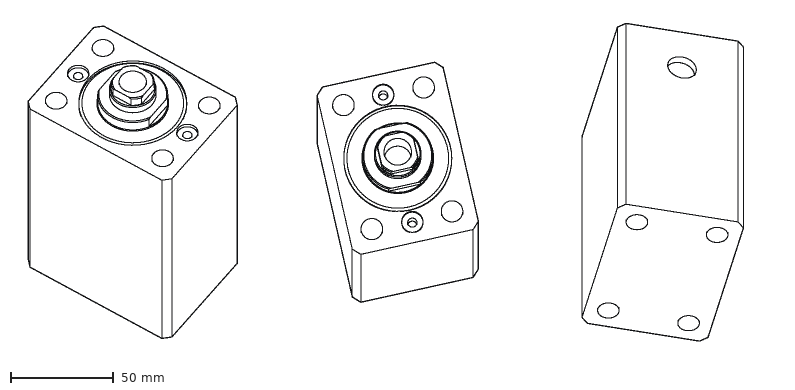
import cadquery as cq
import math

block_length = 85.0
block_width = 63.0
block_height = 123.3
corner_chamfer = 3.5

bolt_hole_diameter = 10.5
bolt_spacing_x = 63.0
bolt_spacing_y = 40.0

top_port_spacing = 64.6
top_port_recess_diameter = 10.4
top_port_recess_depth = 2.0
top_port_bore_diameter = 4.5
top_port_bore_depth = 9.8

side_port_diameter = 14.3
side_port_drop = 24.0
side_port_depth = 4.0

gland_diameter = 52.6
gland_thickness = 20.0
gland_chamfer = 1.5

collar_diameter = 34.1
collar_flat_width = 30.2
collar_top = 130.0
collar_base_height = 0.8
neck_diameter = 22.8
neck_top = 134.6
head_top = 139.9
head_diameter = 21.0
head_flat_width = 18.0
edge_chamfer = 0.5
collar_flare = 0.4

rod_hole_diameter = 13.3
rod_hole_depth = 20.0
drill_point_angle = 118.0

rod_diameter = collar_diameter + 2 * collar_flare
gland_bottom = block_height - gland_thickness
flats_bottom = block_height + collar_base_height


def cylinder(diameter, bottom, top):
    return cq.Workplane("XY").workplane(offset=bottom).circle(diameter / 2).extrude(top - bottom)


def chamfered_cylinder(diameter, bottom, top, chamfer):
    return cylinder(diameter, bottom, top).faces(">Z").edges().chamfer(chamfer)


def box(width_x, width_y, bottom, top):
    return cq.Workplane("XY").workplane(offset=bottom).rect(width_x, width_y).extrude(top - bottom)


def make_housing():
    housing = box(block_length, block_width, 0, block_height)
    housing = housing.edges("|Z").chamfer(corner_chamfer)

    bolt_holes = (
        cq.Workplane("XY")
        .rarray(bolt_spacing_x, bolt_spacing_y, 2, 2)
        .circle(bolt_hole_diameter / 2)
        .extrude(block_height)
    )
    housing = housing.cut(bolt_holes)

    housing = (
        housing.faces(">Z")
        .workplane(origin=(0, 0, block_height))
        .rarray(top_port_spacing, 1.4, 2, 1)
        .cboreHole(
            top_port_bore_diameter, top_port_recess_diameter, top_port_recess_depth, top_port_bore_depth
        )
    )

    side_port = (
        cq.Workplane("YZ", origin=(-block_length / 2, 0, block_height - side_port_drop))
        .circle(side_port_diameter / 2)
        .extrude(side_port_depth)
    )
    gland_seat = cylinder(gland_diameter, gland_bottom, block_height)
    return housing.cut(side_port).cut(gland_seat)


def make_gland():
    gland = chamfered_cylinder(gland_diameter, gland_bottom, block_height, gland_chamfer)
    return gland.cut(cylinder(rod_diameter, gland_bottom, block_height))


def make_collar_foot():
    return (
        cq.Workplane("XY")
        .workplane(offset=block_height)
        .circle(rod_diameter / 2)
        .workplane(offset=collar_flare)
        .circle(collar_diameter / 2)
        .loft(combine=True)
    )


def make_collar():
    collar_base = cylinder(collar_diameter, block_height, flats_bottom).union(make_collar_foot())
    collar = chamfered_cylinder(collar_diameter, flats_bottom, collar_top, edge_chamfer)
    flats = box(collar_flat_width, collar_diameter, flats_bottom, collar_top)
    return collar_base.union(collar.intersect(flats))


def make_head():
    head = chamfered_cylinder(head_diameter, neck_top, head_top, edge_chamfer)
    return head.intersect(box(head_flat_width, head_flat_width, neck_top, head_top))


def make_rod():
    shaft = cylinder(rod_diameter, gland_bottom, block_height)
    neck = chamfered_cylinder(neck_diameter, collar_top, neck_top, edge_chamfer)
    rod = shaft.union(make_collar()).union(neck).union(make_head())
    return rod.cut(make_rod_hole())


def make_rod_hole():
    hole_radius = rod_hole_diameter / 2
    shoulder = head_top - rod_hole_depth
    point_height = hole_radius / math.tan(math.radians(drill_point_angle / 2))
    return (
        cq.Workplane("XZ")
        .moveTo(0, head_top)
        .lineTo(hole_radius, head_top)
        .lineTo(hole_radius, shoulder)
        .lineTo(0, shoulder - point_height)
        .close()
        .revolve(360, (0, 0, 0), (0, 1, 0))
    )


housing = make_housing()
gland = make_gland()
rod = make_rod()

result = cq.Compound.makeCompound([housing.val(), gland.val(), rod.val()])